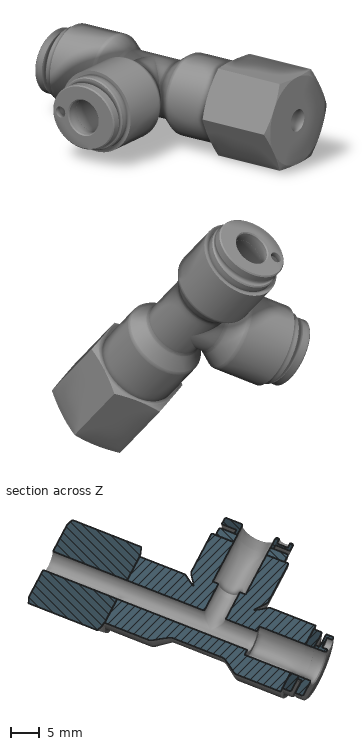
import cadquery as cq
import math


nut_angle = 0
tube_port_angles = (180, 270)
mark_sides = (1, -1)

hub_diameter = 14.7
hub_reach = 16.75
shoulder_reach = 8.05
waist_diameter = 10.55
waist_reach = 5.05
taper_blend_radius = 1.05
flow_bore_diameter = 4.0
tube_bore_diameter = 6.15
tube_stop_reach = shoulder_reach

collar_diameter = 13.15
collar_reach = 18.35
collar_chamfer = 0.2

sleeve_reach = 20.65
sleeve_bore_diameter = 6.2
sleeve_bore_chamfer = 0.2
neck_diameter = 7.5
flange_width = 13.05
flange_height = 11.6
flange_thickness = 1.55
flange_chamfer = 0.2
mark_hole_diameter = 2.0
mark_hole_offset = 4.85
mark_hole_depth = 1.05

overall_length = 51.45
nut_flats = 16.0
nut_corners = nut_flats / math.cos(math.radians(30))
nut_length = overall_length - sleeve_reach - hub_reach
nut_bevel_length = 0.45


def aim(body, port_angle):
    """Turn a body built along +Z so that it points along port_angle in the XY plane.

    The body's own X axis ends up vertical and its Y axis in the XY plane.
    """
    lying = body.rotate((0, 0, 0), (0, 1, 0), 90)
    return lying.rotate((0, 0, 0), (0, 0, 1), port_angle)


def rod(diameter, start, end):
    """Cylinder on the Z axis between two heights."""
    return cq.Workplane("XY").workplane(offset=start).circle(diameter / 2).extrude(end - start)


def make_branch():
    """Solid arm of the tee: waist, blended taper and hub."""
    outline = [
        (0, 0),
        (waist_diameter / 2, 0),
        (waist_diameter / 2, waist_reach),
        (hub_diameter / 2, shoulder_reach),
        (hub_diameter / 2, hub_reach),
        (0, hub_reach),
    ]
    branch = cq.Workplane("XZ").polyline(outline).close().revolve(360, (0, 0), (0, 1))
    taper_ends = branch.edges("%CIRCLE").edges(">>Z[1] or >>Z[-2]")
    return taper_ends.fillet(taper_blend_radius)


def make_housing():
    branch = make_branch()
    flow_bore = rod(flow_bore_diameter, 0, hub_reach)
    tube_bore = rod(tube_bore_diameter, tube_stop_reach, hub_reach)

    housing = aim(branch, nut_angle)
    for angle in tube_port_angles:
        housing = housing.union(aim(branch, angle))

    housing = housing.cut(aim(flow_bore, nut_angle))
    for angle in tube_port_angles:
        housing = housing.cut(aim(flow_bore.union(tube_bore), angle))
    return housing


def make_collar():
    collar = rod(collar_diameter, hub_reach, collar_reach)
    collar = collar.faces(">Z").edges().chamfer(collar_chamfer)
    return collar.cut(rod(tube_bore_diameter, hub_reach, collar_reach))


def make_sleeve(mark_side):
    """Neck and oval flange; mark_side (+1 or -1) picks the side of the flange with the mark hole."""
    flange_base = sleeve_reach - flange_thickness
    flange = (
        cq.Workplane("XY")
        .workplane(offset=flange_base)
        .ellipse(flange_height / 2, flange_width / 2)
        .extrude(flange_thickness)
        .faces(">Z").edges().chamfer(flange_chamfer)
    )
    mark_hole = rod(mark_hole_diameter, sleeve_reach - mark_hole_depth, sleeve_reach)
    flange = flange.cut(mark_hole.translate((0, mark_side * mark_hole_offset, 0)))

    sleeve = flange.union(rod(neck_diameter, collar_reach, flange_base))
    sleeve = sleeve.cut(rod(sleeve_bore_diameter, collar_reach, sleeve_reach))
    bore_rim = sleeve.faces(">Z").edges(cq.selectors.RadiusNthSelector(1))
    return bore_rim.chamfer(sleeve_bore_chamfer)


def make_nut():
    """Hexagon with opposite corners on the Y axis, bevelled at both ends."""
    hexagon = (
        cq.Workplane("XY")
        .workplane(offset=hub_reach)
        .transformed(rotate=(0, 0, 90))
        .polygon(6, nut_corners)
        .extrude(nut_length)
    )
    bevel_depth = (nut_corners - nut_flats) / 2
    envelope = rod(nut_corners, hub_reach, hub_reach + nut_length)
    envelope = envelope.edges("%CIRCLE").chamfer(nut_bevel_length, bevel_depth)
    nut = hexagon.intersect(envelope)
    return nut.cut(rod(flow_bore_diameter, hub_reach, hub_reach + nut_length))


housing = make_housing()
nut = aim(make_nut(), nut_angle)
collars = [aim(make_collar(), angle) for angle in tube_port_angles]
sleeves = [aim(make_sleeve(side), angle) for angle, side in zip(tube_port_angles, mark_sides)]

result = cq.Compound.makeCompound(
    [
        housing.val(),
        nut.val(),
        *[collar.val() for collar in collars],
        *[sleeve.val() for sleeve in sleeves],
    ]
)